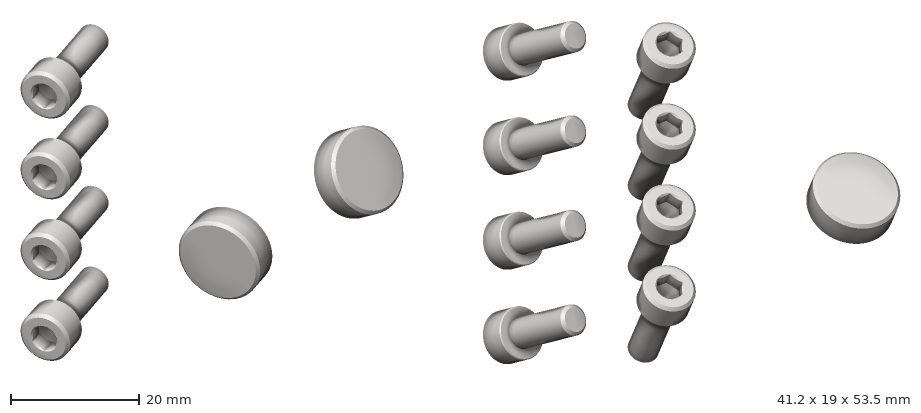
import cadquery as cq
import math

overall_width = 41.25
overall_length = 19.0
overall_height = 53.5

screw_count = 4
head_diameter = 8.5
head_length = 5.05
shank_diameter = 5.0
edge_chamfer = 0.5
head_back_chamfer = 0.15
neck_length = 0.6
neck_flare = 0.05

socket_flats = 4.0
socket_depth = 2.5
socket_tip_angle = 120.0

disc_diameter = 14.0
disc_thickness = 5.5

head_radius = head_diameter / 2
shank_radius = shank_diameter / 2
disc_radius = disc_diameter / 2
screw_pitch = (overall_height - head_diameter) / (screw_count - 1)
disc_x = overall_width - head_radius - disc_radius
socket_corner_radius = socket_flats / math.sqrt(3)


def turned(profile):
    """Revolve a closed (radius, Y) profile around the Y axis."""
    return cq.Workplane("XY").polyline(profile).close().revolve(360, (0, 0), (0, 1))


def make_socket():
    """Hexagonal recess with a countersunk mouth and a conical bottom."""
    across_corners = 2 * socket_corner_radius
    tip_radius = socket_flats / 2
    tip_depth = socket_depth + tip_radius / math.tan(math.radians(socket_tip_angle / 2))
    hexagon = (
        cq.Workplane("XZ")
        .polygon(6, across_corners)
        .extrude(-socket_depth)
        .rotate((0, 0, 0), (0, 1, 0), 30)
    )
    tip = turned([(0, socket_depth), (tip_radius, socket_depth), (0, tip_depth)])
    mouth = turned([(0, 0), (socket_corner_radius, 0), (0, socket_corner_radius)])
    return hexagon.union(tip).union(mouth)


def make_screw():
    """Cap screw with its head face at Y = 0 and its shank toward +Y."""
    blank = turned([
        (0, 0),
        (head_radius - edge_chamfer, 0),
        (head_radius, edge_chamfer),
        (head_radius, head_length - head_back_chamfer),
        (head_radius - head_back_chamfer, head_length),
        (shank_radius + neck_flare, head_length),
        (shank_radius, head_length + neck_length),
        (shank_radius, overall_length - edge_chamfer),
        (shank_radius - edge_chamfer, overall_length),
        (0, overall_length),
    ])
    return blank.cut(make_socket())


def make_disc():
    """Disc with both rims bevelled, its front face flush with the screw heads."""
    return turned([
        (0, 0),
        (disc_radius - edge_chamfer, 0),
        (disc_radius, edge_chamfer),
        (disc_radius, disc_thickness - edge_chamfer),
        (disc_radius - edge_chamfer, disc_thickness),
        (0, disc_thickness),
    ])


screws = []
for index in range(screw_count):
    screw_z = (index - (screw_count - 1) / 2) * screw_pitch
    screws.append(make_screw().translate((0, 0, screw_z)).val())

disc = make_disc().translate((disc_x, 0, 0))

result = cq.Compound.makeCompound([*screws, disc.val()])